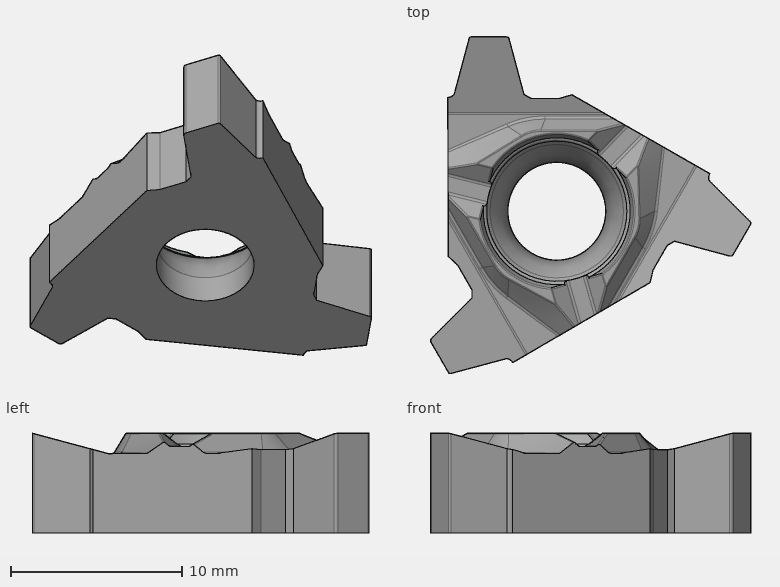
import cadquery as cq
import math

SECTORS = 3
HEIGHT = 5.84
FLOOR_DEPTH = 1.2
FLOOR_Z = HEIGHT - FLOOR_DEPTH
REACH = 11.79
SLAB_INSET = REACH - 0.2
SELECT_MARGIN = 0.02

TIP_Y = 10.18
TOOTH_CENTER_X = -3.95
TIP_HALF_WIDTH = 1.14
FLANK_ANGLE = 15.0
LEFT_TIP_RADIUS = 0.14
RIGHT_TIP_RADIUS = 0.2
ROOT_Y = 6.82
ROOT_HALF_WIDTH = TIP_HALF_WIDTH + (TIP_Y - ROOT_Y) * math.tan(math.radians(FLANK_ANGLE))

SIDE_X = -6.37
SIDE_END_Y = 6.65
LEFT_RELIEF_MIDDLE = (-6.13, 6.7)
RIGHT_FOOT_X = -1.5
SHOULDER_Y = 6.58
SHOULDER_END_X = 0.14
BODY_CORNER = (0.88, 6.8)

RAKE_ANGLE = 15.0
RAKE_BLEND_RADIUS = 0.45

BOSS_BASE_Y = 5.45
BOSS_BASE_CORNER_X = -1.83
BOSS_BASE_ANGLE = 23.2
BOSS_BASE_TRIM = 1.18
BOSS_TOP_Y = 4.72
BOSS_TOP_CORNER_X = -1.53
BOSS_TOP_ANGLE = 31.6
BOSS_TOP_TRIM = 0.59
BOSS_FOOT_RADIUS = 0.22
BOSS_RIM_RADIUS = 0.1
BOSS_START_X = 5.1
BOSS_END_X = -7.27

GROOVE_DIRECTION = 166.0
GROOVE_DEPTH = 0.79
GROOVE_FLOOR_HALF_WIDTH = 0.53
GROOVE_WALL_ANGLE = 38.0
GROOVE_FLOOR_RADIUS = 0.28

BORE_RADIUS = 2.85
MOUTH_RADIUS = 4.5
LEDGE_OUTER = (4.28, 0.63)
LEDGE_MIDDLE = (4.15, 0.69)
LEDGE_INNER = (4.09, 0.85)
SEAT_TOP = (3.9, 1.08)
SEAT_BOTTOM_DEPTH = 3.85


def rotated(point, sector):
    """Turn a point about the origin into the given sector, going clockwise."""
    angle = math.radians(-360.0 * sector / SECTORS)
    x, y = point
    return (
        x * math.cos(angle) - y * math.sin(angle),
        x * math.sin(angle) + y * math.cos(angle),
    )


def in_every_sector(shape):
    """Union of the shape with its copies in all sectors."""
    combined = shape
    for sector in range(1, SECTORS):
        copy = shape.rotate((0, 0, 0), (0, 0, 1), -360.0 * sector / SECTORS)
        combined = combined.union(copy)
    return combined


def make_tooth():
    return (
        cq.Workplane("XY")
        .moveTo(TOOTH_CENTER_X - ROOT_HALF_WIDTH, ROOT_Y)
        .lineTo(TOOTH_CENTER_X - TIP_HALF_WIDTH, TIP_Y)
        .lineTo(TOOTH_CENTER_X + TIP_HALF_WIDTH, TIP_Y)
        .lineTo(TOOTH_CENTER_X + ROOT_HALF_WIDTH, ROOT_Y)
        .close()
        .extrude(HEIGHT)
        .faces(">Y")
        .edges("<X")
        .fillet(LEFT_TIP_RADIUS)
        .faces(">Y")
        .edges(">X")
        .fillet(RIGHT_TIP_RADIUS)
    )


def make_blank():
    """Full-height prism of the body outline with its three teeth."""
    outline = cq.Workplane("XY").moveTo(SIDE_X, SIDE_END_Y)
    for sector in range(SECTORS):
        if sector > 0:
            outline = outline.lineTo(*rotated((SIDE_X, SIDE_END_Y), sector))
        outline = outline.threePointArc(
            rotated(LEFT_RELIEF_MIDDLE, sector),
            rotated((TOOTH_CENTER_X - ROOT_HALF_WIDTH, ROOT_Y), sector),
        )
        for corner in [
            (TOOTH_CENTER_X + ROOT_HALF_WIDTH, ROOT_Y),
            (RIGHT_FOOT_X, SHOULDER_Y),
            (SHOULDER_END_X, SHOULDER_Y),
            BODY_CORNER,
        ]:
            outline = outline.lineTo(*rotated(corner, sector))
    body = outline.close().extrude(HEIGHT)
    return body.union(in_every_sector(make_tooth()))


def make_rake_wedge():
    """Ramp from the chip floor up to the tooth tip, blended at its foot."""
    slope = math.radians(RAKE_ANGLE)
    foot_y = TIP_Y - FLOOR_DEPTH / math.tan(slope)
    trim = RAKE_BLEND_RADIUS * math.tan(slope / 2)
    sag = RAKE_BLEND_RADIUS * (1 - math.cos(slope / 2))
    blend_start = (foot_y - trim, FLOOR_Z)
    blend_middle = (
        blend_start[0] + RAKE_BLEND_RADIUS * math.sin(slope / 2),
        FLOOR_Z + sag,
    )
    blend_end = (foot_y + trim * math.cos(slope), FLOOR_Z + trim * math.sin(slope))
    run_out = REACH - TIP_Y
    return (
        cq.Workplane("YZ", origin=(-REACH, 0, 0))
        .moveTo(*blend_start)
        .threePointArc(blend_middle, blend_end)
        .lineTo(TIP_Y + run_out, HEIGHT + run_out * math.tan(slope))
        .lineTo(TIP_Y + run_out, 0)
        .lineTo(blend_start[0], 0)
        .close()
        .extrude(2 * REACH)
    )


def boss_wire(side_y, corner_x, angle, trim, z):
    """Closed boss outline at height z, with rounded corners of given trim."""
    slope = math.radians(angle)
    arc_radius = trim / math.tan(slope / 2)
    arc_start = (corner_x + trim, side_y)
    arc_middle = (
        arc_start[0] - arc_radius * math.sin(slope / 2),
        side_y - arc_radius * (1 - math.cos(slope / 2)),
    )
    arc_end = (corner_x - trim * math.cos(slope), side_y - trim * math.sin(slope))
    oblique_end = (BOSS_END_X, side_y - (corner_x - BOSS_END_X) * math.tan(slope))
    sketch = cq.Workplane("XY", origin=(0, 0, z)).moveTo(BOSS_START_X, side_y)
    for sector in range(SECTORS):
        if sector > 0:
            sketch = sketch.lineTo(*rotated((BOSS_START_X, side_y), -sector))
        sketch = (
            sketch.lineTo(*rotated(arc_start, -sector))
            .threePointArc(rotated(arc_middle, -sector), rotated(arc_end, -sector))
            .lineTo(*rotated(oblique_end, -sector))
        )
    return sketch.close().val()


def make_boss():
    base = boss_wire(BOSS_BASE_Y, BOSS_BASE_CORNER_X, BOSS_BASE_ANGLE, BOSS_BASE_TRIM, FLOOR_Z)
    top = boss_wire(BOSS_TOP_Y, BOSS_TOP_CORNER_X, BOSS_TOP_ANGLE, BOSS_TOP_TRIM, HEIGHT)
    return cq.Workplane(cq.Solid.makeLoft([base, top], True))


def make_groove():
    """Trapezoidal cutter running outward from the axis."""
    spread = GROOVE_DEPTH / math.tan(math.radians(GROOVE_WALL_ANGLE))
    top_half_width = GROOVE_FLOOR_HALF_WIDTH + spread
    floor_z = HEIGHT - GROOVE_DEPTH
    return (
        cq.Workplane("YZ")
        .moveTo(-GROOVE_FLOOR_HALF_WIDTH, floor_z)
        .lineTo(GROOVE_FLOOR_HALF_WIDTH, floor_z)
        .lineTo(top_half_width, HEIGHT)
        .lineTo(-top_half_width, HEIGHT)
        .close()
        .extrude(REACH)
        .faces("<Z")
        .edges("|X")
        .fillet(GROOVE_FLOOR_RADIUS)
        .rotate((0, 0, 0), (0, 0, 1), GROOVE_DIRECTION)
    )


def make_bore():
    """Revolved cutter: tapered mouth, rounded ledge, curved seat, bore."""

    def at(radius_and_depth):
        radius, depth = radius_and_depth
        return (radius, HEIGHT - depth)

    seat_width = SEAT_TOP[0] - BORE_RADIUS
    seat_height = SEAT_BOTTOM_DEPTH - SEAT_TOP[1]
    half_turn = math.atan2(seat_width, seat_height)
    seat_radius = seat_height / math.sin(2 * half_turn)
    seat_middle = (
        BORE_RADIUS + seat_radius * (1 - math.cos(half_turn)),
        SEAT_BOTTOM_DEPTH - seat_radius * math.sin(half_turn),
    )
    return (
        cq.Workplane("XZ")
        .moveTo(0, HEIGHT)
        .lineTo(MOUTH_RADIUS, HEIGHT)
        .lineTo(*at(LEDGE_OUTER))
        .threePointArc(at(LEDGE_MIDDLE), at(LEDGE_INNER))
        .lineTo(*at(SEAT_TOP))
        .threePointArc(at(seat_middle), at((BORE_RADIUS, SEAT_BOTTOM_DEPTH)))
        .lineTo(BORE_RADIUS, 0)
        .lineTo(0, 0)
        .close()
        .revolve(360, (0, 0, 0), (0, 1, 0))
    )


def make_chip_floor():
    """Slab below the chip floor carrying the boss, blended at its foot."""
    slab = cq.Workplane("XY").box(2 * REACH, 2 * REACH, FLOOR_Z, centered=(True, True, False))
    foot_region = cq.selectors.BoxSelector(
        (-SLAB_INSET, -SLAB_INSET, FLOOR_Z - SELECT_MARGIN),
        (SLAB_INSET, SLAB_INSET, FLOOR_Z + SELECT_MARGIN),
        boundingbox=True,
    )
    return slab.union(make_boss()).edges(foot_region).fillet(BOSS_FOOT_RADIUS)


def touches_top(edge):
    return edge.BoundingBox().zmax > HEIGHT - SELECT_MARGIN


relief = make_chip_floor().cut(in_every_sector(make_groove())).cut(make_bore())
relief = relief.edges().filter(touches_top).fillet(BOSS_RIM_RADIUS)
relief = relief.union(in_every_sector(make_rake_wedge()))
result = make_blank().intersect(relief)